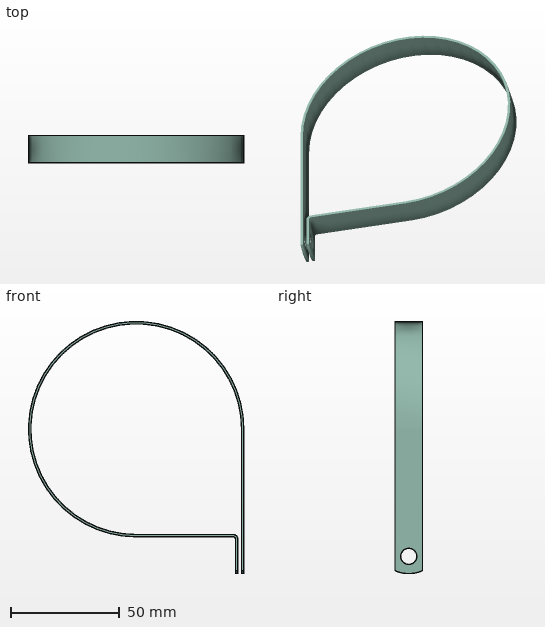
import cadquery as cq

overall_height = 116.2
loop_diameter = 99.3
strap_width = 12.7
strap_thickness = 1.2
leg_gap = 1.6
bend_inner_radius = 1.0
hole_diameter = 7.3
hole_height = 8.0
tip_radius = 15.0

outer_radius = loop_diameter / 2
leg_bottom = outer_radius - overall_height
short_leg_x = outer_radius - strap_thickness - leg_gap
bend_outer_radius = bend_inner_radius + strap_thickness


def side_plane():
    """XZ sketch plane on the +Y edge of the strap; extrusions run towards -Y."""
    return cq.Workplane("XZ", origin=(0, strap_width / 2, 0))


def make_loop():
    """Three-quarter ring running tangentially into the long vertical leg."""
    ring = (
        side_plane()
        .circle(outer_radius)
        .circle(outer_radius - strap_thickness)
        .extrude(strap_width)
    )
    open_quarter = (
        side_plane()
        .rect(loop_diameter, -loop_diameter, centered=False)
        .extrude(strap_width)
    )
    long_leg = (
        side_plane()
        .moveTo(outer_radius, 0)
        .rect(-strap_thickness, leg_bottom, centered=False)
        .extrude(strap_width)
    )
    return ring.cut(open_quarter).union(long_leg)


def make_short_leg():
    """Flat run from the bottom of the loop, bent down into the short leg."""
    top = -outer_radius + strap_thickness
    inner_x = short_leg_x - strap_thickness
    angle = (
        side_plane()
        .moveTo(0, top)
        .lineTo(short_leg_x, top)
        .lineTo(short_leg_x, leg_bottom)
        .lineTo(inner_x, leg_bottom)
        .lineTo(inner_x, -outer_radius)
        .lineTo(0, -outer_radius)
        .close()
        .extrude(strap_width)
    )
    nearest = cq.selectors.NearestToPointSelector
    angle = angle.edges(nearest((short_leg_x, 0, top))).fillet(bend_outer_radius)
    return angle.edges(nearest((inner_x, 0, -outer_radius))).fillet(bend_inner_radius)


def round_tips(strap):
    """Keep only the part of both legs above the rounded tip profile."""
    half_width = strap_width / 2
    corner_z = leg_bottom + tip_radius - (tip_radius**2 - half_width**2) ** 0.5
    envelope = (
        cq.Workplane("YZ", origin=(-loop_diameter, 0, 0))
        .moveTo(-half_width, loop_diameter)
        .lineTo(-half_width, corner_z)
        .threePointArc((0, leg_bottom), (half_width, corner_z))
        .lineTo(half_width, loop_diameter)
        .close()
        .extrude(2 * loop_diameter)
    )
    return strap.intersect(envelope)


bolt_hole = (
    cq.Workplane("YZ")
    .center(0, leg_bottom + hole_height)
    .circle(hole_diameter / 2)
    .extrude(loop_diameter)
)

strap = make_loop().union(make_short_leg())
result = round_tips(strap).cut(bolt_hole)